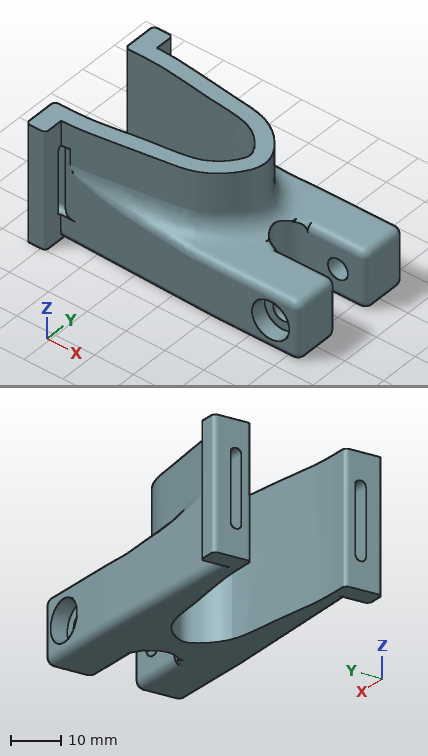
import cadquery as cq
import math

BoxSelector = cq.selectors.BoxSelector

length = 67.4
tab_span = 40.3
height = 30.0

margin = 0.1

wall_thickness = 4.0
arm_start_y = 15.15
arm_mid = (24.85, 12.95)
arm_mid_angle = 8.5
arm_end = (36.45, 10.8)
arm_end_angle = 23.0
nose_half_angle = 28.0
nose_radius = 7.0
nose_tip_x = 45.2

tab_thickness = 5.0
tab_rounding = 1.0

body_height = 14.95
body_width = 33.1
taper_end_x = 45.3
taper_start_y = 15.2
edge_rounding = 2.0
blend_radius = 5.0

gap_width = 9.5
gap_end_x = 47.45
gap_radius = gap_width / 2
gap_center_x = gap_end_x + gap_radius
fade_run = 2.95
fade_drop = 2.0

hole_x = 60.0
hole_z = body_height / 2
hole_diameter = 5.1
counterbore_diameter = 9.6
counterbore_depth = 4.0

slot_width = 2.55
slot_length = 17.6
slot_y = 14.9
strap_saddle_radius = 6.05
strap_saddle_x = 9.0
strap_saddle_top_y = 15.35


def wall_outline(inset):
    """U outline of the wall's outer face, moved inwards by inset and closed at X = 0."""
    end_angle = math.radians(arm_end_angle)
    tip_angle = math.radians(nose_half_angle)
    radius = nose_radius - inset
    tip_x = nose_tip_x - inset
    nose_y = radius * math.sin(tip_angle)
    nose_x = tip_x - radius * (1 - math.cos(tip_angle))
    mid_angle = math.radians(arm_mid_angle)

    def shifted(point, angle):
        return (point[0] - inset * math.sin(angle), point[1] - inset * math.cos(angle))

    flat_end = (tab_thickness, arm_start_y - inset)
    middle = shifted(arm_mid, mid_angle)
    end = shifted(arm_end, end_angle)
    falling = (math.cos(end_angle), -math.sin(end_angle))
    rising = (-math.cos(end_angle), -math.sin(end_angle))
    return (
        cq.Workplane("XY")
        .moveTo(0, flat_end[1])
        .lineTo(*flat_end)
        .spline([middle, end], tangents=[(1, 0), falling], includeCurrent=True)
        .tangentArcPoint((nose_x, nose_y), relative=False)
        .threePointArc((tip_x, 0), (nose_x, -nose_y))
        .tangentArcPoint((end[0], -end[1]), relative=False)
        .spline(
            [(middle[0], -middle[1]), (flat_end[0], -flat_end[1])],
            tangents=[rising, (-1, 0)],
            includeCurrent=True,
        )
        .lineTo(0, -flat_end[1])
        .close()
    )


def centered_box(x_min, x_max, width, z_max):
    """Box standing on Z = 0, symmetric about the XZ plane."""
    return (
        cq.Workplane("XY")
        .box(x_max - x_min, width, z_max, centered=(False, True, False))
        .translate((x_min, 0, 0))
    )


def blended_body():
    """Base and U wall joined by a concave blend, trimmed to the tapering sides."""
    plate = centered_box(0, length + blend_radius, 2 * tab_span, body_height)
    base = plate.union(wall_outline(0).extrude(height))
    foot = BoxSelector(
        (margin, -body_width / 2, body_height - margin),
        (nose_tip_x + margin, body_width / 2, body_height + margin),
    )
    base = base.edges(foot).fillet(blend_radius)
    half = body_width / 2
    sides = [
        (tab_thickness, -taper_start_y),
        (taper_end_x, -half),
        (length, -half),
        (length, half),
        (taper_end_x, half),
        (tab_thickness, taper_start_y),
    ]
    return base.intersect(cq.Workplane("XY").polyline(sides).close().extrude(height))


def lug_fork(body):
    """Split the rear into two lugs and round their rims and the body's long sides."""
    body = body.cut(centered_box(gap_center_x, length, gap_width, body_height))
    reach = tab_span / 2
    side_rims = []
    for side in (-1, 1):
        outer = BoxSelector(
            (tab_thickness + margin, side * taper_start_y, -margin),
            (length - margin, side * reach, body_height + blend_radius),
        )
        inner = BoxSelector(
            (gap_center_x + margin, side * (gap_radius - margin), -margin),
            (length - margin, side * (gap_radius + margin), body_height + margin),
        )
        side_rims += body.edges("not |Z").edges(outer + inner).vals()
    end_rims = body.faces(">X").edges().vals()
    return body.newObject(side_rims + end_rims).fillet(edge_rounding)


def gap_end():
    """Cutter for the round end of the gap, with the slanted run-outs of its rim rounding."""
    cutter = cq.Workplane("XY").center(gap_center_x, 0).circle(gap_radius).extrude(height)
    diagonal = edge_rounding * math.sqrt(0.5)
    rim_section = (
        cq.Workplane("YZ", origin=(gap_center_x, gap_radius, body_height))
        .lineTo(edge_rounding, 0)
        .threePointArc(
            (edge_rounding - diagonal, diagonal - edge_rounding),
            (0, -edge_rounding),
        )
        .close()
    )
    fade_path = cq.Vector(-fade_run, -fade_drop, 0)
    fade = cq.Workplane(cq.Solid.extrudeLinear(rim_section.val(), [], fade_path))
    fade = fade.union(fade.mirror("XZ"))
    fade = fade.union(fade.mirror("XY", (0, 0, body_height / 2)))
    return cutter.union(fade)


def lug_holes():
    """Cutter for the cross hole through both lugs, counterbored from the outer sides."""
    drill = cq.Workplane("XZ", origin=(hole_x, 0, hole_z))
    holes = drill.circle(hole_diameter / 2).extrude(tab_span / 2, both=True)
    rim_y = body_width / 2
    bore = (
        drill.workplane(offset=rim_y - counterbore_depth)
        .circle(counterbore_diameter / 2)
        .extrude(2 * counterbore_depth)
    )
    return holes.union(bore).union(bore.mirror("XZ"))


def strap_slots():
    """Cutter for upright slots through the tabs that run out over a rounded saddle on the arms."""
    slot = (
        cq.Workplane("YZ")
        .center(slot_y, height / 2)
        .slot2D(slot_length, slot_width, 90)
        .extrude(strap_saddle_x)
    )
    saddle = (
        cq.Workplane("XY")
        .center(strap_saddle_x, strap_saddle_top_y - strap_saddle_radius)
        .circle(strap_saddle_radius)
        .extrude(height)
    )
    slot = slot.cut(saddle)
    return slot.union(slot.mirror("XZ"))


fork = lug_fork(blended_body()).cut(gap_end())
tabs = centered_box(0, tab_thickness, tab_span, height)
cavity = wall_outline(wall_thickness).extrude(height)
shell = fork.union(tabs).cut(cavity)
tab_corners = shell.edges("|Z").edges("<X or <Y or >Y")
result = tab_corners.fillet(tab_rounding).cut(lug_holes()).cut(strap_slots())